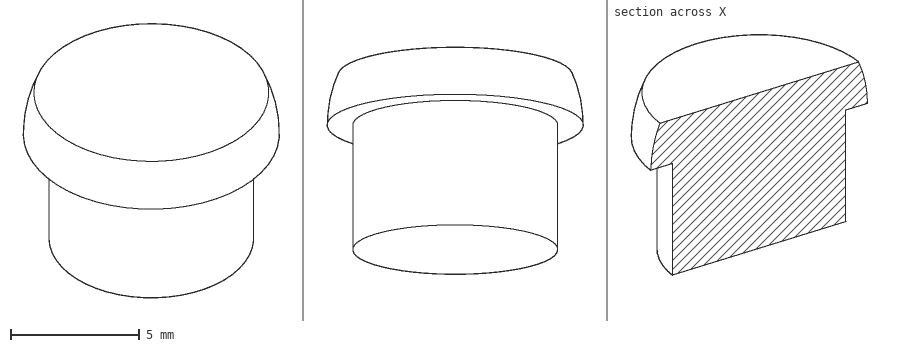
import cadquery as cq
import math

head_radius = 5.0
head_height = 2.0
shank_radius = 4.0
shank_height = 5.0

top_z = shank_height + head_height
top_radius = math.sqrt(head_radius**2 - head_height**2)
mid_angle = math.asin(head_height / head_radius) / 2
mid_point = (
    head_radius * math.cos(mid_angle),
    shank_height + head_radius * math.sin(mid_angle),
)

half_section = (
    cq.Workplane("XZ")
    .lineTo(shank_radius, 0)
    .lineTo(shank_radius, shank_height)
    .lineTo(head_radius, shank_height)
    .threePointArc(mid_point, (top_radius, top_z))
    .lineTo(0, top_z)
    .close()
)
result = half_section.revolve(360, (0, 0), (0, 1))